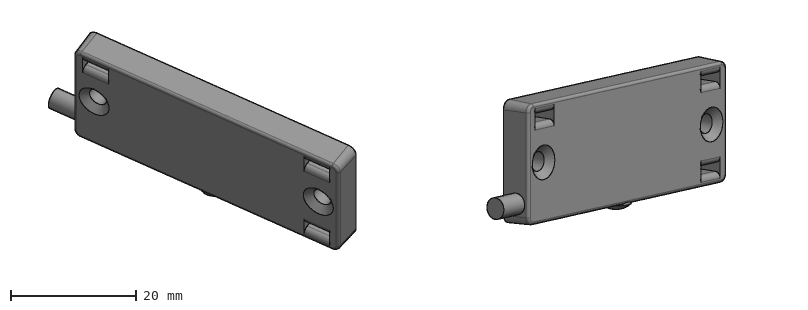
import cadquery as cq
import math

total_length = 55.0
cable_length = 5.0
body_length = total_length - cable_length
body_height = 20.0
body_thickness = 5.0
corner_radius = 1.5
draft_inset = 0.2
front_edge_radius = 0.5

cable_diameter = 3.5
cable_above_bottom = 3.5

dome_diameter = 4.9
dome_height = 1.0
dome_center_x = 0.1

hole_diameter = 3.2
countersink_diameter = 5.6
countersink_angle = 90.0
hole_from_end = 4.0

slot_width = 4.8
slot_throat_height = 1.5
slot_mouth_radius = 1.0
slot_edge_margin = 1.0
slot_from_end = 4.3

slot_mouth_height = slot_throat_height + 2 * slot_mouth_radius
mid_thickness = -body_thickness / 2


def make_body():
    draft_angle = math.degrees(math.atan(draft_inset / body_thickness))
    box = (
        cq.Workplane("XZ")
        .sketch()
        .rect(body_length, body_height)
        .vertices()
        .fillet(corner_radius)
        .finalize()
        .extrude(body_thickness, taper=draft_angle)
    )
    return box.faces("<Y").edges().fillet(front_edge_radius)


def make_cable():
    start_x = -body_length / 2 - cable_length
    center_z = -body_height / 2 + cable_above_bottom
    return (
        cq.Workplane("YZ", origin=(start_x, mid_thickness, center_z))
        .circle(cable_diameter / 2)
        .extrude(cable_length + 2 * draft_inset)
    )


def make_dome():
    rim_radius = dome_diameter / 2
    rim_z = -body_height / 2
    root_z = rim_z + draft_inset + front_edge_radius
    sphere_radius = (rim_radius**2 + dome_height**2) / (2 * dome_height)
    center_z = rim_z - dome_height + sphere_radius
    arc_mid_x = rim_radius / 2
    arc_mid_z = center_z - math.sqrt(sphere_radius**2 - arc_mid_x**2)
    return (
        cq.Workplane("XZ", origin=(dome_center_x, mid_thickness, 0))
        .moveTo(0, root_z)
        .lineTo(rim_radius, root_z)
        .lineTo(rim_radius, rim_z)
        .threePointArc((arc_mid_x, arc_mid_z), (0, rim_z - dome_height))
        .close()
        .revolve(360, (0, 0, 0), (0, 1, 0))
    )


def cut_screw_holes(body):
    hole_x = body_length / 2 - hole_from_end
    return (
        body.faces("<Y")
        .workplane(origin=(0, -body_thickness, 0))
        .pushPoints([(-hole_x, 0), (hole_x, 0)])
        .cskHole(hole_diameter, countersink_diameter, countersink_angle)
    )


def make_slot(center_x, center_z):
    half_throat = slot_throat_height / 2
    half_mouth = slot_mouth_height / 2
    front_y = -body_thickness
    throat_y = front_y + slot_mouth_radius
    arc_mid_y = throat_y - slot_mouth_radius * math.sqrt(0.5)
    arc_mid_z = half_mouth - slot_mouth_radius * math.sqrt(0.5)
    return (
        cq.Workplane("YZ", origin=(center_x - slot_width / 2, 0, center_z))
        .moveTo(0, -half_throat)
        .lineTo(0, half_throat)
        .lineTo(throat_y, half_throat)
        .threePointArc((arc_mid_y, arc_mid_z), (front_y, half_mouth))
        .lineTo(front_y, -half_mouth)
        .threePointArc((arc_mid_y, -arc_mid_z), (throat_y, -half_throat))
        .close()
        .extrude(slot_width)
    )


slot_x = body_length / 2 - slot_from_end
slot_z = body_height / 2 - slot_edge_margin - slot_mouth_height / 2
slot_centers = [(-slot_x, slot_z), (slot_x, slot_z), (slot_x, -slot_z)]

result = make_body().union(make_cable()).union(make_dome())
result = cut_screw_holes(result)
for slot_center in slot_centers:
    result = result.cut(make_slot(*slot_center))